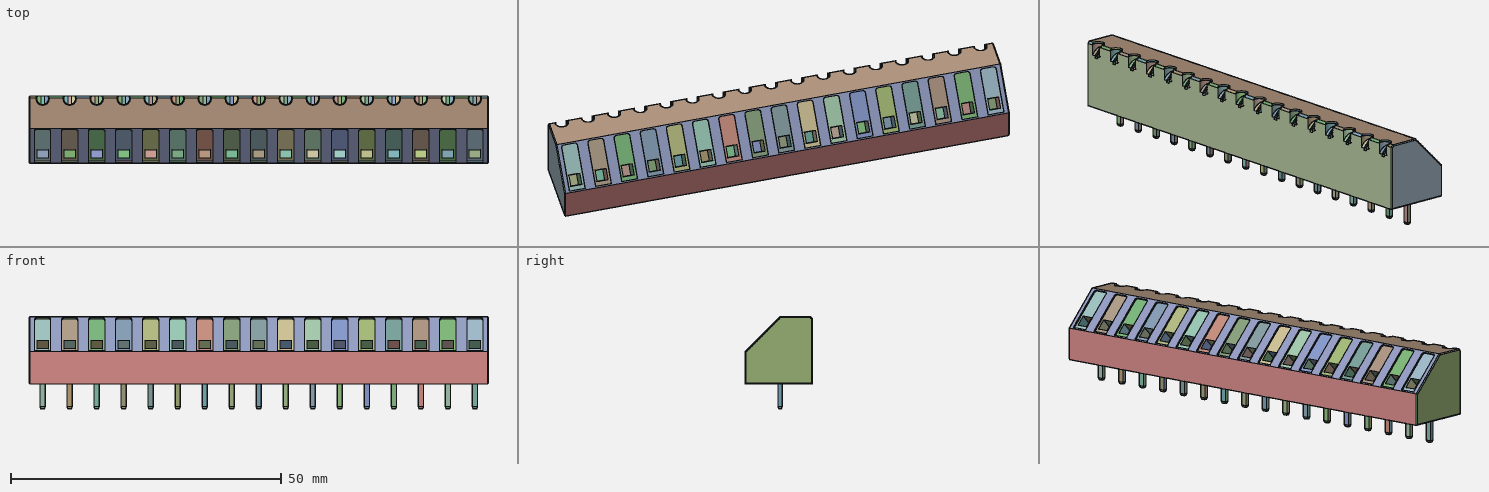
import cadquery as cq
import math

POLE_COUNT = 17
POLE_PITCH = 5.0
LENGTH = POLE_COUNT * POLE_PITCH

DEPTH = 12.5
HEIGHT = 12.5
BACK_Y = 6.0
FRONT_Y = BACK_Y - DEPTH
SLOPE_RUN = 6.5
BACK_BEVEL = 0.4
END_BEVEL = 0.2

SLOPE_ANGLE = 45.0
SLOT_WIDTH = 3.0
SLOT_DEPTH = 0.3
SLOT_CORNER_RADIUS = 0.5
SLOT_END_MARGIN = 0.3
OPENING_WIDTH = 2.1
OPENING_LENGTH = 2.1
OPENING_DEPTH = 4.0
OPENING_OFFSET = 2.15

NOTCH_DIAMETER = 2.46
NOTCH_DEPTH = 0.3
WELL_DIAMETER = 2.16
NOTCH_CENTRE_INSET = 0.5
RAMP_DROP = 2.35
RAMP_ANGLE = 45.0
RAMP_SLOT_WIDTH = 0.65
RAMP_SLOT_DEPTH = 0.3

PIN_WIDTH = 1.0
PIN_THICKNESS = 0.8
PIN_LENGTH = 4.6
PIN_TIP_LENGTH = 0.4
PIN_TIP_INSET = 0.15


def pole_positions():
    return [(i - (POLE_COUNT - 1) / 2) * POLE_PITCH for i in range(POLE_COUNT)]


def make_housing():
    profile = [
        (BACK_Y, 0),
        (BACK_Y, HEIGHT - BACK_BEVEL),
        (BACK_Y - BACK_BEVEL, HEIGHT),
        (FRONT_Y + SLOPE_RUN, HEIGHT),
        (FRONT_Y, HEIGHT - SLOPE_RUN),
        (FRONT_Y, 0),
    ]
    housing = cq.Workplane("YZ").polyline(profile).close().extrude(LENGTH / 2, both=True)
    return housing.faces("<X or >X").chamfer(END_BEVEL)


def on_slope(tool, x):
    """Place a tool so its XY plane lies on the slope, with +Y pointing uphill from the lower edge."""
    tilted = tool.rotate((0, 0, 0), (1, 0, 0), SLOPE_ANGLE)
    return tilted.translate((x, FRONT_Y, HEIGHT - SLOPE_RUN))


def slot_cutter(x):
    slope_length = SLOPE_RUN / math.cos(math.radians(SLOPE_ANGLE))
    slot = cq.Workplane("XY").box(SLOT_WIDTH, slope_length - 2 * SLOT_END_MARGIN, 2 * SLOT_DEPTH)
    slot = slot.edges(">Y and |Z").fillet(SLOT_CORNER_RADIUS)
    slot = slot.translate((0, slope_length / 2, 0))
    opening = cq.Workplane("XY").box(OPENING_WIDTH, OPENING_LENGTH, 2 * OPENING_DEPTH)
    opening = opening.translate((0, OPENING_OFFSET, 0))
    return on_slope(slot.union(opening), x)


def above_ramp(width, floor_offset):
    """Wedge filling the space over the ramp, its underside lowered vertically by floor_offset."""
    run = NOTCH_CENTRE_INSET + NOTCH_DIAMETER
    back_z = HEIGHT - RAMP_DROP - floor_offset
    front_z = back_z + run * math.tan(math.radians(RAMP_ANGLE))
    top_z = HEIGHT + run
    profile = [
        (BACK_Y + run, back_z - (front_z - back_z)),
        (BACK_Y + run, top_z),
        (BACK_Y - run, top_z),
        (BACK_Y - run, front_z),
    ]
    return cq.Workplane("YZ").polyline(profile).close().extrude(width / 2, both=True)


def notch_cutter(x):
    mouth = cq.Workplane("XY").circle(NOTCH_DIAMETER / 2).extrude(-NOTCH_DEPTH)
    well = cq.Workplane("XY").circle(WELL_DIAMETER / 2).extrude(-HEIGHT / 2)
    bore = mouth.union(well).translate((0, BACK_Y - NOTCH_CENTRE_INSET, HEIGHT))
    slot_drop = RAMP_SLOT_DEPTH / math.cos(math.radians(RAMP_ANGLE))
    space = above_ramp(NOTCH_DIAMETER, 0).union(above_ramp(RAMP_SLOT_WIDTH, slot_drop))
    return bore.intersect(space).translate((x, 0, 0))


def make_pin(x):
    embedded = PIN_LENGTH / 2
    shank_length = PIN_LENGTH - PIN_TIP_LENGTH
    pin = cq.Workplane("XY").rect(PIN_WIDTH, PIN_THICKNESS).extrude(shank_length + embedded)
    pin = pin.translate((0, 0, -shank_length))
    tip = (
        cq.Workplane("XY")
        .workplane(offset=-shank_length)
        .rect(PIN_WIDTH, PIN_THICKNESS)
        .workplane(offset=-PIN_TIP_LENGTH)
        .rect(PIN_WIDTH - 2 * PIN_TIP_INSET, PIN_THICKNESS - 2 * PIN_TIP_INSET)
        .loft()
    )
    return pin.union(tip).translate((x, 0, 0))


result = make_housing()
for pole_x in pole_positions():
    result = result.cut(slot_cutter(pole_x))
    result = result.cut(notch_cutter(pole_x))
    result = result.union(make_pin(pole_x))